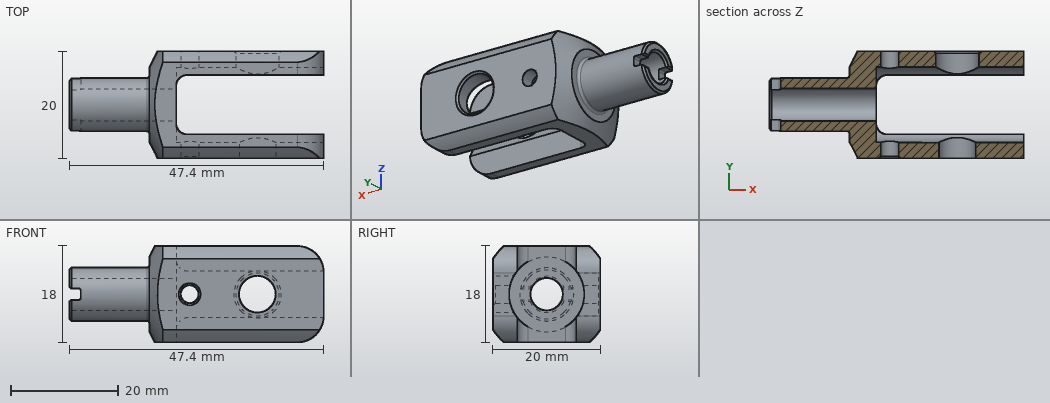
import cadquery as cq
import math

overall_length = 47.4
body_width = 20.0
body_height = 18.0
turned_diameter = 24.0

shank_length = 14.9
shank_diameter = 10.0
shank_bore_diameter = 6.0
end_chamfer = 0.4
root_fillet = 0.5

driver_slot_width = 2.1
driver_slot_depth = 2.1
driver_slot_floor_radius = 0.4
driver_slot_edge_chamfer = 0.3

shoulder_diameter = 14.0
shoulder_radius_per_length = 2.0
shoulder_length = (turned_diameter - shoulder_diameter) / 2 / shoulder_radius_per_length

fork_gap = 11.0
fork_depth = 27.5
fork_corner_radius = 2.0
fork_tip_radius = 5.0
fork_bore_diameter = 14.0
fork_floor_x = overall_length - fork_depth

near_pin_hole_diameter = 6.8
far_pin_hole_diameter = 8.0
far_pin_hole_chamfer = 0.4
pin_hole_from_tip = 12.4
pin_hole_x = overall_length - pin_hole_from_tip
lock_hole_diameter = 3.3
lock_hole_mouth_diameter = 4.1
lock_hole_from_fork_floor = 2.5
lock_hole_x = fork_floor_x + lock_hole_from_fork_floor


def rod_along_x(diameter, start, end):
    """Solid cylinder on the X axis between two X positions."""
    return cq.Workplane("YZ").workplane(offset=start).circle(diameter / 2).extrude(end - start)


def rod_along_y(diameter, x):
    """Solid cylinder parallel to Y that crosses the whole body."""
    return cq.Workplane("XZ").center(x, 0).circle(diameter / 2).extrude(body_width / 2, both=True)


def countersink(hole_diameter, depth, x, side):
    """45 degree cone at the mouth of a cross hole; side is -1 for the -Y face, +1 for the +Y face."""
    cone = cq.Solid.makeCone(
        hole_diameter / 2 + depth,
        hole_diameter / 2,
        depth,
        cq.Vector(x, side * body_width / 2, 0),
        cq.Vector(0, -side, 0),
    )
    return cq.Workplane(cone)


def make_body():
    """Rectangular bar with rounded tips, trimmed by the turned profile with its conical shoulder."""
    body_length = overall_length - shank_length
    bar = (
        cq.Workplane("XY")
        .box(body_length, body_width, body_height, centered=(False, True, True))
        .translate((shank_length, 0, 0))
        .edges(">X and |Y")
        .fillet(fork_tip_radius)
    )
    turned = (
        cq.Workplane("XY")
        .moveTo(shank_length, 0)
        .lineTo(shank_length, shoulder_diameter / 2)
        .lineTo(shank_length + shoulder_length, turned_diameter / 2)
        .lineTo(overall_length, turned_diameter / 2)
        .lineTo(overall_length, 0)
        .close()
        .revolve(360, (0, 0, 0), (1, 0, 0))
    )
    return bar.intersect(turned)


def make_shank():
    """Round shank with a chamfered end and a concave fillet where it meets the shoulder."""
    radius = shank_diameter / 2
    fillet_middle = root_fillet * (1 - math.sqrt(0.5))
    return (
        cq.Workplane("XY")
        .lineTo(0, radius - end_chamfer)
        .lineTo(end_chamfer, radius)
        .lineTo(shank_length - root_fillet, radius)
        .threePointArc(
            (shank_length - fillet_middle, radius + fillet_middle),
            (shank_length, radius + root_fillet),
        )
        .lineTo(shank_length, 0)
        .close()
        .revolve(360, (0, 0, 0), (1, 0, 0))
    )


def shank_bore_cutter():
    """Axial bore from the shank end into the fork, with a chamfered mouth."""
    radius = shank_bore_diameter / 2
    return (
        cq.Workplane("XY")
        .lineTo(0, radius + end_chamfer)
        .lineTo(end_chamfer, radius)
        .lineTo(fork_floor_x, radius)
        .lineTo(fork_floor_x, 0)
        .close()
        .revolve(360, (0, 0, 0), (1, 0, 0))
    )


def driver_slot_cutter():
    """Slot across the shank end with a rounded floor and chamfered mouth edges."""
    half_width = driver_slot_width / 2
    mouth_half_width = half_width + driver_slot_edge_chamfer
    slot = (
        cq.Workplane("XY")
        .box(driver_slot_depth, shank_diameter, driver_slot_width, centered=(False, True, True))
        .edges(">X and |Y")
        .fillet(driver_slot_floor_radius)
    )
    mouth = (
        cq.Workplane("XZ")
        .moveTo(0, -mouth_half_width)
        .lineTo(0, mouth_half_width)
        .lineTo(driver_slot_edge_chamfer, half_width)
        .lineTo(driver_slot_edge_chamfer, -half_width)
        .close()
        .extrude(shank_diameter / 2, both=True)
    )
    return slot.union(mouth)


def fork_gap_cutter():
    """Gap between the arms, widened around the axis by a round bore."""
    gap = (
        cq.Workplane("XY")
        .box(fork_depth, fork_gap, body_height, centered=(False, True, True))
        .translate((fork_floor_x, 0, 0))
        .edges("<X and |Z")
        .fillet(fork_corner_radius)
    )
    return gap.union(rod_along_x(fork_bore_diameter, fork_floor_x, overall_length))


def pin_hole_cutter():
    """Pin hole through both arms, opened out and countersunk in the +Y arm."""
    far_hole = (
        cq.Workplane("XZ")
        .center(pin_hole_x, 0)
        .circle(far_pin_hole_diameter / 2)
        .extrude(-body_width / 2)
    )
    far_sink = countersink(far_pin_hole_diameter, far_pin_hole_chamfer, pin_hole_x, 1)
    return rod_along_y(near_pin_hole_diameter, pin_hole_x).union(far_hole).union(far_sink)


def lock_hole_cutter():
    """Small cross hole through both arms, countersunk in the -Y face."""
    sink_depth = (lock_hole_mouth_diameter - lock_hole_diameter) / 2
    sink = countersink(lock_hole_diameter, sink_depth, lock_hole_x, -1)
    return rod_along_y(lock_hole_diameter, lock_hole_x).union(sink)


result = (
    make_body()
    .union(make_shank())
    .cut(shank_bore_cutter())
    .cut(driver_slot_cutter())
    .cut(fork_gap_cutter())
    .cut(pin_hole_cutter())
    .cut(lock_hole_cutter())
)